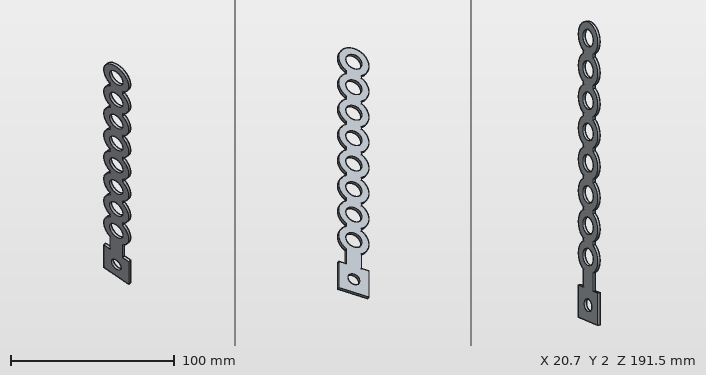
import cadquery as cq

length = 191.5
width = 20.7
thickness = 2.0

ring_count = 8
ring_hole_diameter = 11.0
first_ring_z = 41.2
last_ring_z = length - width / 2
ring_pitch = (last_ring_z - first_ring_z) / (ring_count - 1)

neck_width = 10.3
tab_hole_diameter = 8.0
tab_center_z = width / 2

ring_centers = [(0, first_ring_z + i * ring_pitch) for i in range(ring_count)]


def strip_sketch():
    """Start a sketch on the plane of the strip, centred on its thickness."""
    return cq.Workplane("XZ", origin=(0, thickness / 2, 0))


def discs(centers, diameter):
    """Full-thickness discs at the given X, Z positions."""
    return strip_sketch().pushPoints(centers).circle(diameter / 2).extrude(thickness)


def bar(bar_width, bottom_z, top_z):
    """Full-thickness rectangle between two heights."""
    center_z = (bottom_z + top_z) / 2
    return strip_sketch().center(0, center_z).rect(bar_width, top_z - bottom_z).extrude(thickness)


tab = bar(width, 0, width)
neck = bar(neck_width, tab_center_z, last_ring_z)
body = tab.union(neck).union(discs(ring_centers, width))

body = body.cut(discs(ring_centers, ring_hole_diameter))
body = body.cut(discs([(0, tab_center_z)], tab_hole_diameter))

result = body